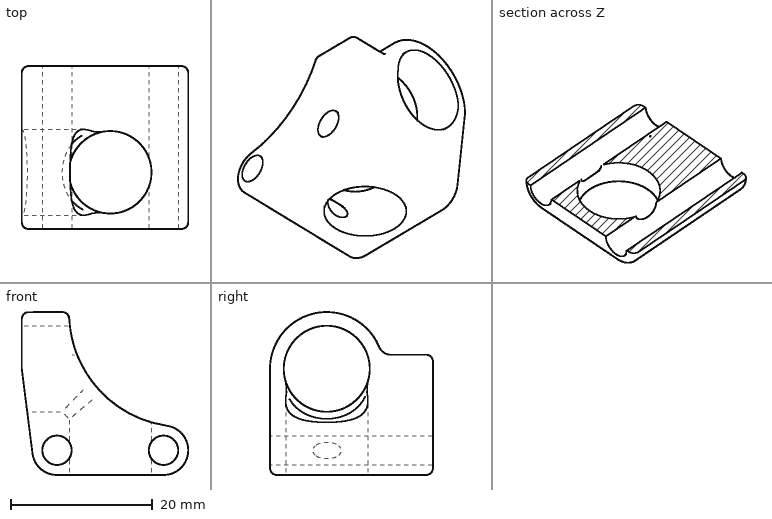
import cadquery as cq
import math

width = 23.0
height = 23.0
length = 23.5

foot_radius = 3.5
pin_diameter = 4.1
pin_spacing = 15.0
right_pin_x = length - foot_radius
left_pin_x = right_pin_x - pin_spacing
pin_z = foot_radius

arch_radius = 8.0
bore_diameter = 12.1
arch_y = arch_radius
arch_z = height - arch_radius
shelf_z = 16.98
blend_radius = 1.76

saddle_radius = 16.0
saddle_left_x = 6.72
hole_diameter = 11.6
hole_x = (left_pin_x + right_pin_x) / 2

edge_radius = 1.0
floor_chamfer = 1.0
bend_radius = 1.17
tolerance = 0.002
top_clearance = 1.17


def polar(center_x, center_y, radius, angle):
    """Point on a circle, with the angle in radians."""
    return (center_x + radius * math.cos(angle), center_y + radius * math.sin(angle))


def side_profile():
    """XZ outline extruded across the full width."""
    saddle_x = saddle_left_x + saddle_radius
    outline_top = height + top_clearance
    center_gap = saddle_radius + foot_radius
    saddle_z = pin_z + math.sqrt(center_gap**2 - (saddle_x - right_pin_x) ** 2)
    join_angle = math.atan2(saddle_z - pin_z, saddle_x - right_pin_x)
    top_angle = math.pi - math.asin((outline_top - saddle_z) / saddle_radius)
    saddle_mid_angle = (top_angle + join_angle + math.pi) / 2
    saddle_top = polar(saddle_x, saddle_z, saddle_radius, top_angle)
    saddle_mid = polar(saddle_x, saddle_z, saddle_radius, saddle_mid_angle)
    saddle_end = polar(right_pin_x, pin_z, foot_radius, join_angle)
    right_mid = polar(right_pin_x, pin_z, foot_radius, (join_angle - math.pi / 2) / 2)

    rise = arch_z - pin_z
    to_corner = math.atan2(rise, -left_pin_x)
    slope_angle = to_corner + math.acos(foot_radius / math.hypot(left_pin_x, rise))
    slope_end = polar(left_pin_x, pin_z, foot_radius, slope_angle)
    left_mid = polar(left_pin_x, pin_z, foot_radius, (slope_angle + 1.5 * math.pi) / 2)

    return (
        cq.Workplane("XZ")
        .moveTo(0, arch_z)
        .lineTo(0, outline_top)
        .lineTo(*saddle_top)
        .threePointArc(saddle_mid, saddle_end)
        .threePointArc(right_mid, (right_pin_x, 0))
        .lineTo(left_pin_x, 0)
        .threePointArc(left_mid, slope_end)
        .close()
        .extrude(-width)
    )


def arch_profile():
    """YZ outline of the arch and shelf, extruded along the full length."""
    blend_z = shelf_z + blend_radius
    center_gap = arch_radius + blend_radius
    blend_y = arch_y + math.sqrt(center_gap**2 - (blend_z - arch_z) ** 2)
    join_angle = math.atan2(blend_z - arch_z, blend_y - arch_y)
    arch_mid = polar(arch_y, arch_z, arch_radius, (math.pi + join_angle) / 2)
    arch_end = polar(arch_y, arch_z, arch_radius, join_angle)
    blend_mid_angle = (join_angle + math.pi + 1.5 * math.pi) / 2
    blend_mid = polar(blend_y, blend_z, blend_radius, blend_mid_angle)

    return (
        cq.Workplane("YZ")
        .lineTo(0, arch_z)
        .threePointArc(arch_mid, arch_end)
        .threePointArc(blend_mid, (blend_y, shelf_z))
        .lineTo(width, shelf_z)
        .lineTo(width, 0)
        .close()
        .extrude(length)
    )


def is_rim(edge):
    """True for sharp edges; false for seams between the faces of one outline."""
    center = edge.Center()
    box = edge.BoundingBox()
    if box.ylen > width - tolerance:
        return False
    along_x = edge.geomType() == "LINE" and box.ylen < tolerance and box.zlen < tolerance
    on_side = center.y < tolerance or center.y > width - tolerance
    at_arch_center = abs(center.z - arch_z) < tolerance
    return not along_x or (on_side and not at_arch_center)


body = side_profile().intersect(arch_profile())
bend_line = cq.selectors.BoxSelector(
    (-tolerance, -tolerance, arch_z - tolerance),
    (tolerance, width + tolerance, arch_z + tolerance),
)
body = body.edges(bend_line).fillet(bend_radius)
rim = [edge for edge in body.edges().vals() if is_rim(edge)]
body = body.newObject(rim).fillet(edge_radius)

bore = cq.Workplane("YZ").center(arch_y, arch_z).circle(bore_diameter / 2).extrude(length)
hole = cq.Workplane("XY").center(hole_x, arch_y).circle(hole_diameter / 2).extrude(arch_z)
pins = (
    cq.Workplane("XZ")
    .pushPoints([(left_pin_x, pin_z), (right_pin_x, pin_z)])
    .circle(pin_diameter / 2)
    .extrude(-width)
)
body = body.cut(bore).cut(hole)

hole_left_x = hole_x - hole_diameter / 2
bore_floor_z = arch_z - bore_diameter / 2
floor_edge = cq.selectors.BoxSelector(
    (hole_left_x - tolerance, arch_y - bore_diameter / 2, bore_floor_z - tolerance),
    (hole_x, arch_y + bore_diameter / 2, arch_z),
    boundingbox=True,
)
body = body.edges(floor_edge).chamfer(floor_chamfer)
result = body.cut(pins)